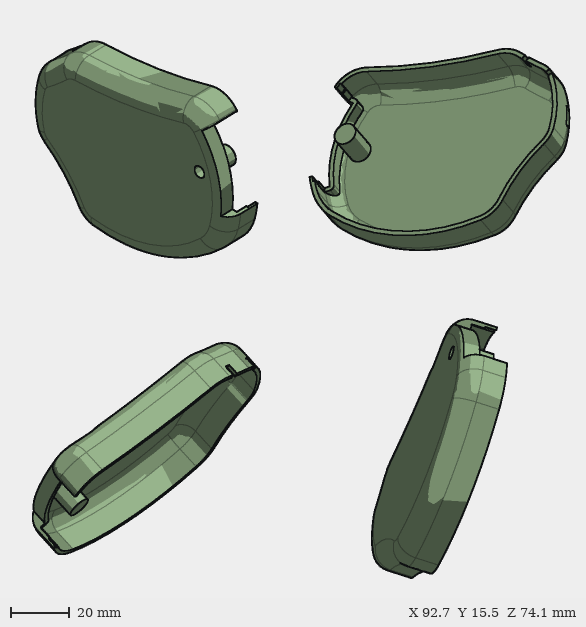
import cadquery as cq
import math

DEPTH = 15.5
WALL = 1.7
EDGE_RADIUS = 6.95

RIGHT_CENTER = (45.4, 40.3)
RIGHT_RADIUS = 47.4

LOWER_LEFT = (2.4, 27.15, 10.4)
UPPER_LEFT = (2.8, 55.8, 10.0)
TOP_LEFT = (17.2, 67.9, 12.5)
TOP_RIGHT = (77.3, 75.5, 11.5)
LOWER_RIGHT = (89.2, 22.2, 22.05)
BOTTOM_LEFT = (22.5, 2.3, 11.5)
CORNERS = [LOWER_LEFT, UPPER_LEFT, TOP_LEFT, TOP_RIGHT, LOWER_RIGHT, BOTTOM_LEFT]

SIDE_RADII = [-39.5, 112.0, 189.95, -RIGHT_RADIUS, -66.1, 57.45]

RECESS_DEPTH = 3.5
RECESS_START = -6.0
RECESS_END = 37.3
WINDOW_OVERRUN = 2.1
WINDOW_SILL = 6.8
WINDOW_STEP = 11.6
WINDOW_SKIN = 1.6
WINDOW_REAR_SKIN = 1.0
WINDOW_CLEARANCE = 0.7
RECESS_RADIUS = RIGHT_RADIUS - RECESS_DEPTH

HOLE_CENTER = (80.0, 50.2)
HOLE_DIAMETER = 4.5
BOSS_DIAMETER = 8.0
BOSS_TOP = 14.0

PORT_Y = 5.7
PORT_Z = 40.3
PORT_WIDTH = 3.7
PORT_HEIGHT = 8.0
PORT_RADIUS = 0.7
PORT_REACH = 4.6

RIM_SLOTS = [(2.3, 54.0, 150.0), (11.3, 62.3, 130.0)]
SLOT_WIDTH = 1.9
SLOT_DEPTH = 4.1
SLOT_REACH = 2.8

CUT_MARGIN = 9.3


def plane_at(y):
    """Sketch plane at height y whose axes are X and Z and whose normal is +Y."""
    return cq.Plane(origin=(0, y, 0), xDir=(1, 0, 0), normal=(0, 1, 0))


def sketch_point(x, z):
    """Sketch coordinates of (X, Z): the sketch's second axis points to -Z."""
    return (x, -z)


def outline_block():
    """Full-depth block with the rounded outline and sharp front edges."""
    points = [sketch_point(x, z) for x, z, _ in CORNERS]
    sketch = cq.Workplane(plane_at(0)).moveTo(*points[0])
    for end, radius in zip(points[1:] + points[:1], SIDE_RADII):
        sketch = sketch.radiusArc(end, radius)
    block = sketch.close().extrude(DEPTH)
    for x, z, radius in CORNERS:
        corner_edge = cq.selectors.NearestToPointSelector((x, DEPTH / 2, z))
        block = block.edges("|Y").edges(corner_edge).fillet(radius)
    return block


def sector(inner_radius, outer_radius, margin, y_from, y_to=DEPTH):
    """Ring sector about the right-hand arc's centre, widened by margin at both ends."""
    spread = math.degrees(margin / RIGHT_RADIUS)
    start = RECESS_START - spread
    end = RECESS_END + spread

    def at(radius, angle):
        turn = math.radians(angle)
        x = RIGHT_CENTER[0] + radius * math.cos(turn)
        return sketch_point(x, RIGHT_CENTER[1] + radius * math.sin(turn))

    middle = (start + end) / 2
    return (
        cq.Workplane(plane_at(y_from))
        .moveTo(*at(inner_radius, start))
        .threePointArc(at(inner_radius, middle), at(inner_radius, end))
        .lineTo(*at(outer_radius, end))
        .threePointArc(at(outer_radius, middle), at(outer_radius, start))
        .close()
        .extrude(y_to - y_from)
    )


def cylinder(center, diameter, y_from, y_to):
    """Cylinder along Y centred on an (X, Z) point."""
    return (
        cq.Workplane(plane_at(y_from))
        .center(*sketch_point(*center))
        .circle(diameter / 2)
        .extrude(y_to - y_from)
    )


def window():
    """Opening behind the recess, undercutting both of its ends, wider at the rear."""
    inside = RECESS_RADIUS - WALL - WINDOW_CLEARANCE
    front = sector(inside, RIGHT_RADIUS - WINDOW_SKIN, WINDOW_OVERRUN, WINDOW_SILL)
    rear = sector(inside, RIGHT_RADIUS - WINDOW_REAR_SKIN, WINDOW_OVERRUN, WINDOW_STEP)
    return front.union(rear)


def port():
    """Rounded rectangular opening through the left wall."""
    return (
        cq.Workplane("XY")
        .box(2 * PORT_REACH, PORT_WIDTH, PORT_HEIGHT)
        .edges("|X")
        .fillet(PORT_RADIUS)
        .translate((0, PORT_Y, PORT_Z))
    )


def rim_slot(x, z, direction):
    """Notch through the wall from the open rim, square to the outline."""
    return (
        cq.Workplane("XY")
        .box(2 * SLOT_REACH, SLOT_DEPTH, SLOT_WIDTH)
        .rotate((0, 0, 0), (0, 1, 0), -direction)
        .translate((x, DEPTH - SLOT_DEPTH / 2, z))
    )


body = outline_block().faces("<Y").edges().fillet(EDGE_RADIUS)
body = body.cut(sector(RECESS_RADIUS, RIGHT_RADIUS + CUT_MARGIN, 0, 0))
body = body.faces(">Y").shell(-WALL)

body = body.union(cylinder(HOLE_CENTER, BOSS_DIAMETER, WALL / 2, BOSS_TOP))
body = body.cut(cylinder(HOLE_CENTER, HOLE_DIAMETER, 0, BOSS_TOP - WALL))

body = body.cut(window())
body = body.cut(port())
for slot in RIM_SLOTS:
    body = body.cut(rim_slot(*slot))

result = body